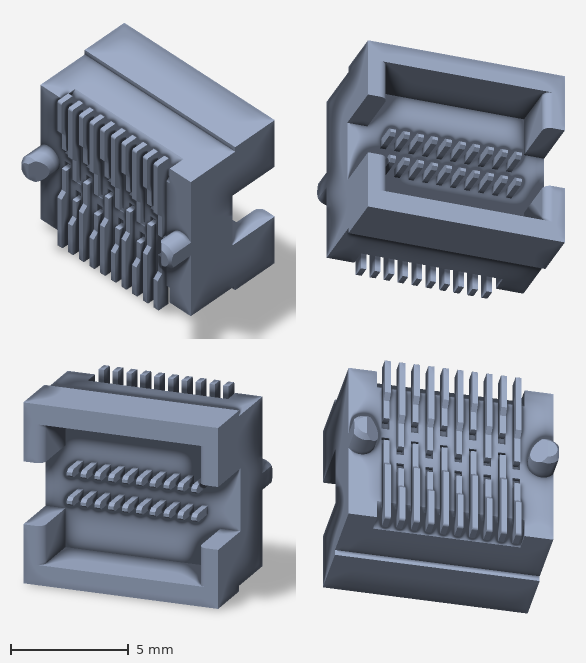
import cadquery as cq


width = 8.89
depth = 5.11
mating_height = 8.13
solder_height = 7.63
mating_depth = 2.41

slot_height = 2.83
slot_depth = 2.56
wall = 0.91
mouth_radius = 0.36

contact_count = 10
pitch = 0.63
contact_width = 0.25

pin_height = 0.37
pin_length = 1.3
pin_offset = 0.64
pin_tip_length = 0.18
pin_tip_height = 0.12

tail_span = 8.27
tail_front = 0.49
tail_thin_front = 0.22
tail_tip_radius = 0.11
channel_width = 0.33
channel_depth = 0.18

short_tail = (0.85, 1.25, 2.17)
long_tail = (-0.39, -0.125, 1.08)

relief_width = 6.4
relief_size = 0.845

peg_diameter = 1.26
peg_length = 1.26
peg_axis = 3.93
peg_chamfer = 0.21


def box(x_size, y_min, y_max, z_min, z_max, x_center=0.0):
    """Box centred on x_center, given by its limits along Y and Z."""
    size = (x_size, y_max - y_min, z_max - z_min)
    corner = (x_center - x_size / 2, y_min, z_min)
    return cq.Workplane("XY").box(*size, centered=False).translate(corner)


def plate(points, thickness, x_center):
    """Plate with a (y, z) outline and a thickness along X."""
    outline = cq.Workplane("YZ", origin=(x_center, 0, 0)).polyline(points).close()
    return outline.extrude(thickness / 2, both=True)


def half_turn(shape):
    """The shape turned upside down about the Y axis."""
    return shape.rotate((0, 0, 0), (0, 1, 0), 180)


def make_housing():
    solder_part = box(width, 0, depth, -solder_height / 2, solder_height / 2)
    mating_part = box(width, depth - mating_depth, depth, -mating_height / 2, mating_height / 2)
    housing = solder_part.union(mating_part)

    cavity_half_height = mating_height / 2 - wall
    cavity = box(width - 2 * wall, depth - slot_depth, depth, -cavity_half_height, cavity_half_height)
    housing = housing.cut(cavity)
    mouth_edges = cq.selectors.BoxSelector(
        (-width / 2 + wall / 2, depth - mouth_radius, -cavity_half_height),
        (width / 2 - wall / 2, depth + mouth_radius, cavity_half_height),
    )
    housing = housing.edges("|Z").edges(mouth_edges).fillet(mouth_radius)

    slot = box(width, depth - slot_depth, depth, -slot_height / 2, slot_height / 2)
    housing = housing.cut(slot)

    edge = solder_height / 2
    relief = plate([(0, edge), (relief_size, edge), (0, edge - relief_size)], relief_width, 0)
    return housing.cut(relief).cut(half_turn(relief))


def make_channel(x, tail):
    channel_end = tail[0]
    return box(channel_width, 0, channel_depth, channel_end, tail_span / 2, x)


def make_tail(x, tail):
    _, tail_end, bend = tail
    bend_rise = tail_front - tail_thin_front
    outline = [
        (channel_depth, tail_end),
        (-tail_thin_front, tail_end),
        (-tail_thin_front, bend),
        (-tail_front, bend + bend_rise),
        (-tail_front, tail_span / 2),
        (channel_depth, tail_span / 2),
    ]
    tail_plate = plate(outline, contact_width, x)
    return tail_plate.edges("<Y and >Z").edges("|X").fillet(tail_tip_radius)


def make_pin(x):
    floor = depth - slot_depth
    tip = floor + pin_length
    shoulder = tip - pin_tip_length
    flank = pin_height / 2
    tip_flank = flank - pin_tip_height
    outline = [
        (floor, -flank),
        (shoulder, -flank),
        (tip, -tip_flank),
        (tip, tip_flank),
        (shoulder, flank),
        (floor, flank),
    ]
    return plate(outline, contact_width, x).translate((0, 0, pin_offset))


def make_peg():
    """Peg at the +X end: flush with the housing end, bevelled on its inner side."""
    peg = cq.Workplane("XZ").center(peg_axis, 0).circle(peg_diameter / 2).extrude(peg_length)
    peg = peg.faces("<Y").chamfer(peg_chamfer)
    bevel_points = [
        (peg_axis, -peg_length),
        (peg_axis - peg_length, 0),
        (peg_axis - peg_length, -peg_length),
    ]
    bevel = cq.Workplane("XY").polyline(bevel_points).close().extrude(peg_diameter, both=True)
    inside_width = box(width, -peg_length, 0, -peg_diameter, peg_diameter)
    return peg.cut(bevel).intersect(inside_width)


result = make_housing()

channels = []
contacts = []
for column in range(contact_count):
    x = (column - (contact_count - 1) / 2) * pitch
    tail = short_tail if column % 2 == 0 else long_tail
    channels.append(make_channel(x, tail))
    contacts.append(make_tail(x, tail))
    contacts.append(make_pin(x))

for channel in channels:
    result = result.cut(channel).cut(half_turn(channel))
for contact in contacts:
    result = result.union(contact).union(half_turn(contact))

peg = make_peg()
result = result.union(peg).union(half_turn(peg))